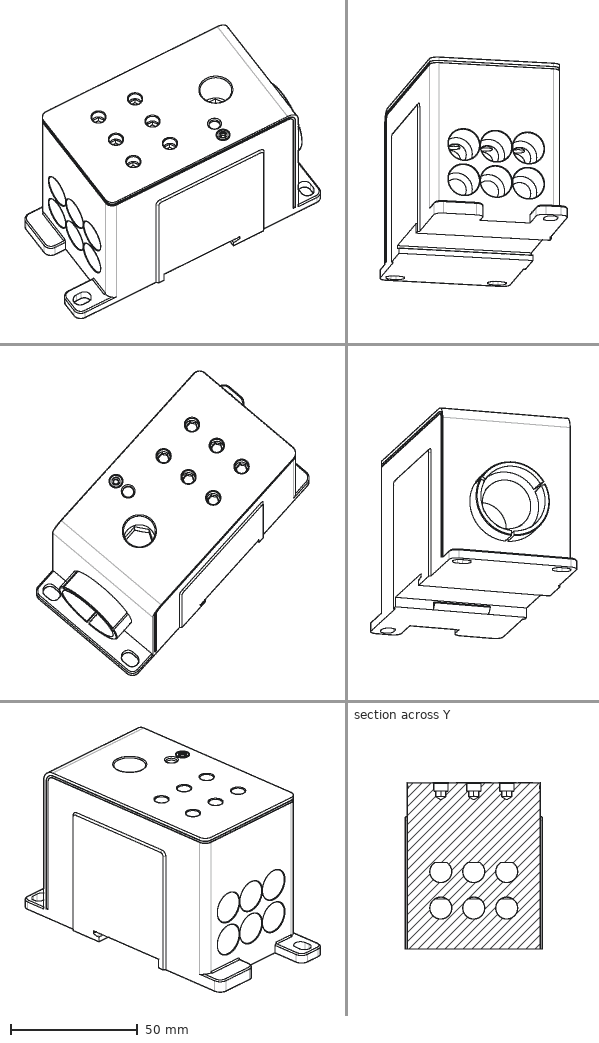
import cadquery as cq
import math

WIDTH = 52.4
HEIGHT = 65.7
FRONT_Y = -42.4
BACK_Y = 45.3
FRONT_CORNER_R = 3.2
BACK_TOP_R = 5.0

COVER_THICK = 1.4
SEAM_WIDTH = 0.9
SEAM_DEPTH = 0.2

PAD_RISE = 0.8
PAD_ROOT = 1.1
PAD_FRONT_Y = -20.9
PAD_BACK_Y = 29.3
PAD_TOP_Z = 52.7
PAD_CORNER_R = 2.0

FLANGE_BACK_Y = 57.0
FLANGE_HEIGHT = 3.9
FOOT_FRONT_Y = -57.0
FOOT_WIDTH = 12.5
FOOT_HEIGHT = 4.0
STEP_FRONT_Y = -50.5
STEP_WIDTH = 19.7
STEP_HEIGHT = 5.2
FOOT_CORNER_R = 3.2
FOOT_CHAMFER = 0.6
FOOT_ROOT = 0.6
SLOT_LENGTH = 7.4
SLOT_WIDTH = 5.4
SLOT_INSET = 4.7
FOOT_SLOT_INSET = 5.7
FLANGE_SLOT_X = 20.5
FOOT_SLOT_X = 20.1

RAIL_FRONT_Y = -17.5
RAIL_BACK_Y = 17.5
RAIL_DEPTH = 3.9
HOOK_Y = 14.6
HOOK_LIP = 1.1
HOOK_TIP_Z = 2.2
HOOK_ROOT_Z = 2.7
LATCH_WIDTH = 22.8
LATCH_TIP_Y = -15.3
LATCH_TIP_Z = 2.3
LATCH_TOP_Z = 2.8

COLLAR_OD = 30.2
COLLAR_ID = 26.5
COLLAR_Z = 27.0
COLLAR_END_Y = 54.2
COLLAR_CHAMFER = 0.3
COLLAR_SLIT = 1.0
SLIT_ANGLES = (30, 150, 270)
ENTRY_BORE_D = 20.0
ENTRY_BORE_END_Y = 11.4

PITCH = 13.0
MOUTH_D = 13.0
WIRE_ENTRY_D = 12.5
WIRE_BORE_D = 8.5
WIRE_ENTRY_DEPTH = 13.7
BORE_PAST_SCREW = 6.8
DRILL_TIP_ANGLE = 118
SCREW_D = 5.1
SCREW_HOLE_D = 5.4
SCREW_MOUTH_D = 6.0
SCREW_HEAD_DEPTH = 3.4
SCREW_SOCKET = 3.9
SCREW_TIP_ABOVE_BORE = 3.5
WIRE_ROWS = ((30.5, -23.1), (16.2, -6.2))

MAIN_SCREW_Y = 23.3
MAIN_HOLE_D = 12.5
MAIN_MOUTH_D = 13.5
MAIN_HEAD_DEPTH = 13.7
MAIN_SOCKET = 10.0

MARK_Y = 13.9
MARK_D = 5.5
LABEL_X = 14.0
LABEL_FLOOR_D = 4.5
LABEL_DEPTH = 1.4
INDICATOR_X = 20.4
RING_WIDTH = 0.3
RING_DEPTH = 0.2
WINDOW_D = 3.2
WINDOW_DEPTH = 0.6
PIN_D = 2.0
PIN_DEPTH = 1.7

HALF_WIDTH = WIDTH / 2


def block(x0, x1, y0, y1, z0, z1):
    return cq.Workplane("XY").box(x1 - x0, y1 - y0, z1 - z0, centered=False).translate((x0, y0, z0))


def cylinder_up(diameter, x, y, z0, z1):
    return cq.Workplane("XY", origin=(x, y, z0)).circle(diameter / 2).extrude(z1 - z0)


def cylinder_back(diameter, x, z, y0, y1):
    """Cylinder along +Y from y0 to y1."""
    return cq.Workplane("XZ", origin=(x, y0, z)).circle(diameter / 2).extrude(y0 - y1)


def cone(base_d, tip_d, length, base_centre, direction):
    return cq.Workplane(
        cq.Solid.makeCone(base_d / 2, tip_d / 2, length, cq.Vector(*base_centre), cq.Vector(*direction))
    )


def tip_length(diameter):
    """Length of the conical end left by a drill."""
    return diameter / 2 / math.tan(math.radians(DRILL_TIP_ANGLE / 2))


def housing_block(inset):
    """Housing body drawn in by the inset on its sides, front, back and top."""
    body = block(
        inset - HALF_WIDTH, HALF_WIDTH - inset, FRONT_Y + inset, BACK_Y - inset, 0, HEIGHT - inset
    )
    body = body.edges("|Z and <Y").fillet(FRONT_CORNER_R - inset)
    return body.edges("|X and >Y and >Z").fillet(BACK_TOP_R - inset)


def cover_profile(inset):
    """Full-width bar with the side outline of the housing, open towards the front."""
    bar = block(-WIDTH, WIDTH, 2 * FRONT_Y, BACK_Y - inset, FLANGE_HEIGHT, HEIGHT - inset)
    return bar.edges("|X and >Y and >Z").fillet(BACK_TOP_R - inset)


def seam():
    band = cover_profile(COVER_THICK).cut(cover_profile(COVER_THICK + SEAM_WIDTH))
    return band.cut(housing_block(SEAM_DEPTH))


def side_pads():
    """A pad on each side, standing on the base, its edges sloping in at 45 degrees."""
    length = PAD_BACK_Y - PAD_FRONT_Y
    outline = (
        cq.Workplane("YZ", origin=(HALF_WIDTH - PAD_ROOT, 0, 0))
        .center((PAD_FRONT_Y + PAD_BACK_Y) / 2, 0)
        .rect(length, 2 * PAD_TOP_Z)
        .extrude(PAD_ROOT + PAD_RISE)
    )
    pad = outline.edges("|X").fillet(PAD_CORNER_R).faces(">X").chamfer(PAD_RISE)
    pad = pad.intersect(block(0, WIDTH, FRONT_Y, BACK_Y, 0, HEIGHT))
    return pad.union(pad.mirror("YZ"))


def foot(x0, x1, y0, y1, height, outer_edges):
    """Flat foot with rounded outer corners and a chamfered top edge."""
    plate = block(x0, x1, y0, y1, 0, height)
    return plate.edges(outer_edges).fillet(FOOT_CORNER_R).faces(">Z").chamfer(FOOT_CHAMFER)


def root_chamfer(x0, x1, height):
    """Sloping strip where a front foot meets the housing."""
    return (
        cq.Workplane("YZ", origin=(x0, 0, 0))
        .polyline([
            (FRONT_Y, height),
            (FRONT_Y - FOOT_ROOT, height),
            (FRONT_Y, height + FOOT_ROOT),
        ])
        .close()
        .extrude(x1 - x0)
    )


def feet():
    foot_x = HALF_WIDTH - FOOT_WIDTH
    step_x = STEP_WIDTH - HALF_WIDTH
    overlap_y = FRONT_Y + FRONT_CORNER_R + FOOT_CHAMFER
    flange = foot(-HALF_WIDTH, HALF_WIDTH, 0, FLANGE_BACK_Y, FLANGE_HEIGHT, "|Z and >Y")
    slotted = foot(foot_x, HALF_WIDTH, FOOT_FRONT_Y, overlap_y, FOOT_HEIGHT, "|Z and <Y")
    step = foot(-HALF_WIDTH, step_x, STEP_FRONT_Y, overlap_y, STEP_HEIGHT, "|Z and <Y")
    slotted_root = root_chamfer(foot_x + FOOT_CHAMFER, HALF_WIDTH - FRONT_CORNER_R, FOOT_HEIGHT)
    step_root = root_chamfer(FRONT_CORNER_R - HALF_WIDTH, step_x - FOOT_CHAMFER, STEP_HEIGHT)
    return flange.union(slotted).union(step).union(slotted_root).union(step_root)


def mounting_slots():
    flange_y = FLANGE_BACK_Y - SLOT_INSET
    slots = (
        cq.Workplane("XY")
        .pushPoints([(-FLANGE_SLOT_X, flange_y), (FLANGE_SLOT_X, flange_y)])
        .slot2D(SLOT_LENGTH, SLOT_WIDTH)
        .extrude(STEP_HEIGHT)
    )
    foot_slot = (
        cq.Workplane("XY")
        .center(FOOT_SLOT_X, FOOT_FRONT_Y + FOOT_SLOT_INSET)
        .slot2D(SLOT_LENGTH, SLOT_WIDTH, 90)
        .extrude(STEP_HEIGHT)
    )
    return slots.union(foot_slot)


def rail_channel():
    """Channel across the base with a fixed hook at the back."""
    return (
        cq.Workplane("YZ", origin=(-WIDTH, 0, 0))
        .polyline([
            (RAIL_FRONT_Y, 0),
            (RAIL_FRONT_Y, RAIL_DEPTH),
            (RAIL_BACK_Y, RAIL_DEPTH),
            (RAIL_BACK_Y, HOOK_ROOT_Z),
            (HOOK_Y + HOOK_LIP, HOOK_TIP_Z),
            (HOOK_Y, HOOK_TIP_Z),
            (HOOK_Y, 0),
        ])
        .close()
        .extrude(2 * WIDTH)
    )


def rail_latch():
    """Wedge-shaped latch at the front of the channel."""
    return (
        cq.Workplane("YZ", origin=(-LATCH_WIDTH / 2, 0, 0))
        .polyline([
            (RAIL_FRONT_Y, 0),
            (LATCH_TIP_Y, LATCH_TIP_Z),
            (LATCH_TIP_Y - (LATCH_TOP_Z - LATCH_TIP_Z), LATCH_TOP_Z),
            (RAIL_FRONT_Y, LATCH_TOP_Z),
        ])
        .close()
        .extrude(LATCH_WIDTH)
    )


def collar():
    ring = cylinder_back(COLLAR_OD, 0, COLLAR_Z, BACK_Y, COLLAR_END_Y)
    ring = ring.faces(">Y").chamfer(COLLAR_CHAMFER)
    ring = ring.cut(cylinder_back(COLLAR_ID, 0, COLLAR_Z, BACK_Y, COLLAR_END_Y))
    slit = block(0, COLLAR_OD, BACK_Y, COLLAR_END_Y, -COLLAR_SLIT / 2, COLLAR_SLIT / 2)
    for angle in SLIT_ANGLES:
        turned = slit.rotate((0, 0, 0), (0, -1, 0), angle)
        ring = ring.cut(turned.translate((0, 0, COLLAR_Z)))
    return ring


def entry_bore():
    return cylinder_back(ENTRY_BORE_D, 0, COLLAR_Z, ENTRY_BORE_END_Y, BACK_Y)


def screw_access(x, y, hole_d, mouth_d, head_depth, socket):
    """Hole down to a screw head, chamfered at the top, with a pointed hexagon socket in the head."""
    chamfer = (mouth_d - hole_d) / 2
    head_z = HEIGHT - head_depth
    corner_d = socket / math.cos(math.pi / 6)
    socket_z = head_z - socket / 2
    hole = cylinder_up(hole_d, x, y, head_z, HEIGHT)
    mouth = cone(mouth_d, hole_d, chamfer, (x, y, HEIGHT), (0, 0, -1))
    tip = tip_length(corner_d)
    hexagon = (
        cq.Workplane("XY", origin=(x, y, socket_z - tip))
        .transformed(rotate=(0, 0, 30))
        .polygon(6, corner_d)
        .extrude(head_z - socket_z + tip)
    )
    drill_end = cone(corner_d, 0, tip, (x, y, socket_z), (0, 0, -1))
    drilled = cylinder_up(corner_d, x, y, socket_z, head_z).union(drill_end)
    return hole.union(mouth).union(drilled.intersect(hexagon))


def wire_hole(x, z, screw_y):
    """Stepped hole running in from the front, with the screw tip left standing in its bore."""
    mouth_length = (MOUTH_D - WIRE_ENTRY_D) / 2
    entry_end_y = FRONT_Y + WIRE_ENTRY_DEPTH
    funnel_length = (WIRE_ENTRY_D - WIRE_BORE_D) / 2
    end_y = screw_y + BORE_PAST_SCREW
    mouth = cone(MOUTH_D, WIRE_ENTRY_D, mouth_length, (x, FRONT_Y, z), (0, 1, 0))
    entry = cylinder_back(WIRE_ENTRY_D, x, z, FRONT_Y, entry_end_y)
    funnel = cone(WIRE_ENTRY_D, WIRE_BORE_D, funnel_length, (x, entry_end_y, z), (0, 1, 0))
    bore = cylinder_back(WIRE_BORE_D, x, z, entry_end_y, end_y)
    drill_end = cone(WIRE_BORE_D, 0, tip_length(WIRE_BORE_D), (x, end_y, z), (0, 1, 0))
    screw_tip = cylinder_up(SCREW_D, x, screw_y, z + SCREW_TIP_ABOVE_BORE, z + WIRE_BORE_D)
    return mouth.union(entry).union(funnel).union(bore).union(drill_end).cut(screw_tip)


def label_recess():
    slope = (MARK_D - LABEL_FLOOR_D) / 2
    floor_z = HEIGHT - LABEL_DEPTH
    recess = cylinder_up(LABEL_FLOOR_D, LABEL_X, MARK_Y, floor_z, HEIGHT)
    return recess.union(cone(MARK_D, LABEL_FLOOR_D, slope, (LABEL_X, MARK_Y, HEIGHT), (0, 0, -1)))


def indicator():
    ring = cylinder_up(MARK_D, INDICATOR_X, MARK_Y, HEIGHT - RING_DEPTH, HEIGHT)
    ring = ring.cut(cylinder_up(MARK_D - 2 * RING_WIDTH, INDICATOR_X, MARK_Y, 0, HEIGHT))
    window = cylinder_up(WINDOW_D, INDICATOR_X, MARK_Y, HEIGHT - WINDOW_DEPTH, HEIGHT)
    pin_hole = cylinder_up(PIN_D, INDICATOR_X, MARK_Y, HEIGHT - PIN_DEPTH, HEIGHT)
    return ring.union(window).union(pin_hole)


part = housing_block(0).cut(seam()).union(side_pads()).union(feet()).union(collar())
part = part.cut(mounting_slots()).cut(rail_channel()).union(rail_latch())
part = part.cut(entry_bore())

for row_z, row_screw_y in WIRE_ROWS:
    for column in (-1, 0, 1):
        hole_x = column * PITCH
        part = part.cut(wire_hole(hole_x, row_z, row_screw_y))
        part = part.cut(
            screw_access(hole_x, row_screw_y, SCREW_HOLE_D, SCREW_MOUTH_D, SCREW_HEAD_DEPTH, SCREW_SOCKET)
        )

part = part.cut(
    screw_access(0, MAIN_SCREW_Y, MAIN_HOLE_D, MAIN_MOUTH_D, MAIN_HEAD_DEPTH, MAIN_SOCKET)
)
part = part.cut(label_recess()).cut(indicator())

result = part